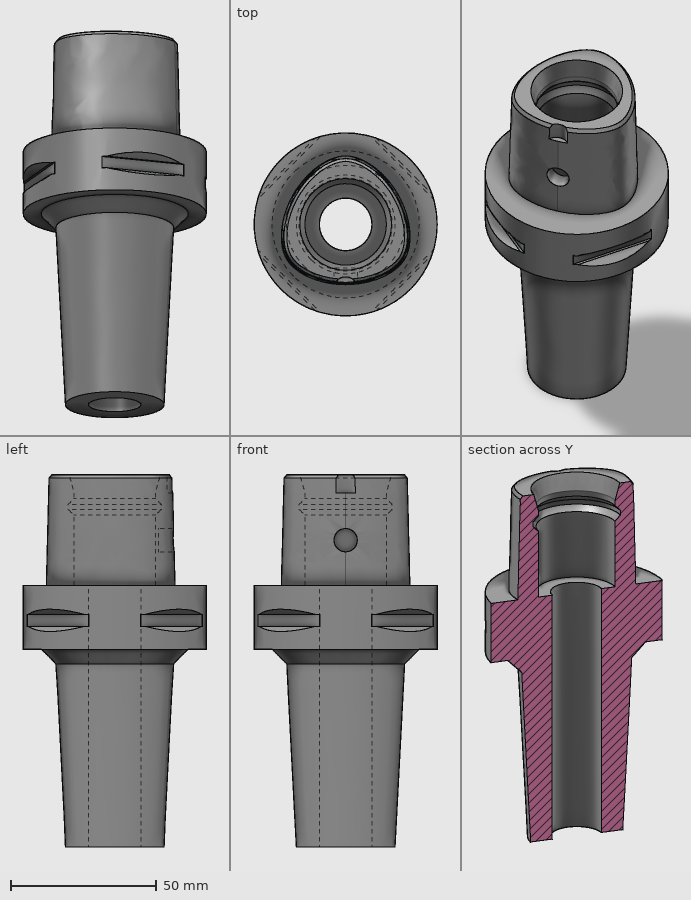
import cadquery as cq
import math


flange_radius = 31.5
flange_height = 22.0

nose_root_radius = 20.3
nose_tip_radius = 17.0
nose_length = 63.0
neck_height = 5.0
neck_top_radius = nose_root_radius + neck_height

shank_height = 38.0
shank_base_radius = 22.15
shank_taper = 1 / 20
lobe_eccentricity = 1.4
half_outline_steps = 36
shank_chamfer_height = 1.2
shank_chamfer_inset = 1.0

through_radius = 9.0
mouth_radius = 15.75
bore_radius = 14.0
mouth_depth = 6.2
groove_radius = 16.0
groove_top_depth = 8.2
groove_bottom_depth = 13.9
bore_depth = 38.0

keyway_radius = 4.0
keyway_axis_y = -22.0
keyway_depth = 6.2

cross_hole_radius = 4.0
cross_hole_depth = 22.5
cross_hole_floor_y = -15.0

notch_count = 4
notch_first_angle = 45.0
notch_length = 30.0
notch_flat_distance = 27.5
notch_ledge_distance = 28.4
notch_top_z = -10.0
notch_flat_height = 4.1
notch_flare_angle = 30.0

neck_top_z = -flange_height
neck_bottom_z = neck_top_z - neck_height
nose_tip_z = neck_bottom_z - nose_length


def make_round_body():
    """Flange, neck cone and tapered nose as one revolved outline."""
    outline = [
        (0, 0),
        (flange_radius, 0),
        (flange_radius, neck_top_z),
        (neck_top_radius, neck_top_z),
        (nose_root_radius, neck_bottom_z),
        (nose_tip_radius, nose_tip_z),
        (0, nose_tip_z),
    ]
    return cq.Workplane("XZ").polyline(outline).close().revolve(360, (0, 0), (0, 1))


def lobed_point(mean_radius, angle, z):
    """Point on the constant-width, three-lobed outline that has one lobe toward +Y."""
    along_lobe = (
        mean_radius * math.cos(angle)
        + 2 * lobe_eccentricity * math.cos(2 * angle)
        - lobe_eccentricity * math.cos(4 * angle)
    )
    across_lobe = (
        mean_radius * math.sin(angle)
        - 2 * lobe_eccentricity * math.sin(2 * angle)
        - lobe_eccentricity * math.sin(4 * angle)
    )
    return cq.Vector(-across_lobe, along_lobe, z)


def lobed_wire(mean_radius, z):
    """Closed lobed outline made of a -X half and a +X half that meet on the Y axis."""
    halves = []
    for start_angle in (0, math.pi):
        points = []
        for index in range(half_outline_steps + 1):
            angle = start_angle + math.pi * index / half_outline_steps
            points.append(lobed_point(mean_radius, angle, z))
        halves.append(cq.Edge.makeSpline(points))
    return cq.Wire.assembleEdges(halves)


def make_shank():
    """Tapered lobed shank with a chamfered top rim."""
    chamfer_z = shank_height - shank_chamfer_height
    chamfer_radius = shank_base_radius - chamfer_z * shank_taper / 2
    base = lobed_wire(shank_base_radius, 0)
    chamfer_edge = lobed_wire(chamfer_radius, chamfer_z)
    rim = lobed_wire(chamfer_radius - shank_chamfer_inset, shank_height)
    return cq.Workplane(cq.Solid.makeLoft([base, chamfer_edge, rim], True))


def make_bore():
    """Conical mouth, 45 degree sided groove, wide bore and through hole."""
    groove_flank = groove_radius - bore_radius
    outline = [
        (0, 0),
        (mouth_radius, 0),
        (bore_radius, mouth_depth),
        (bore_radius, groove_top_depth),
        (groove_radius, groove_top_depth + groove_flank),
        (groove_radius, groove_bottom_depth - groove_flank),
        (bore_radius, groove_bottom_depth),
        (bore_radius, bore_depth),
        (through_radius, bore_depth),
        (through_radius, shank_height - nose_tip_z),
        (0, shank_height - nose_tip_z),
    ]
    points = [(radius, shank_height - depth) for radius, depth in outline]
    return cq.Workplane("XZ").polyline(points).close().revolve(360, (0, 0), (0, 1))


def make_keyway():
    """Round-bottomed slot open to the shank top and side."""
    return (
        cq.Workplane("XY", origin=(0, keyway_axis_y, shank_height - keyway_depth))
        .circle(keyway_radius)
        .extrude(keyway_depth)
    )


def make_cross_hole():
    """Flat-bottomed radial hole entering from the -Y side."""
    return (
        cq.Workplane("XZ", origin=(0, cross_hole_floor_y, shank_height - cross_hole_depth))
        .circle(cross_hole_radius)
        .extrude(flange_radius + cross_hole_floor_y)
    )


def make_notch(angle):
    """Closed-ended notch: flat floor, short level ledges, then flared sides out to the rim."""
    bottom_z = notch_top_z - notch_flat_height
    flare_depth = flange_radius - notch_ledge_distance
    flare_height = flare_depth * math.tan(math.radians(notch_flare_angle))
    outline = [
        (notch_flat_distance, notch_top_z),
        (notch_ledge_distance, notch_top_z),
        (flange_radius, notch_top_z + flare_height),
        (flange_radius, bottom_z - flare_height),
        (notch_ledge_distance, bottom_z),
        (notch_flat_distance, bottom_z),
    ]
    notch = cq.Workplane("XZ").polyline(outline).close().extrude(notch_length / 2, both=True)
    return notch.rotate((0, 0, 0), (0, 0, 1), angle)


result = make_round_body().union(make_shank())
result = result.cut(make_bore())
result = result.cut(make_keyway())
result = result.cut(make_cross_hole())
for notch_index in range(notch_count):
    notch_angle = notch_first_angle + notch_index * 360 / notch_count
    result = result.cut(make_notch(notch_angle))